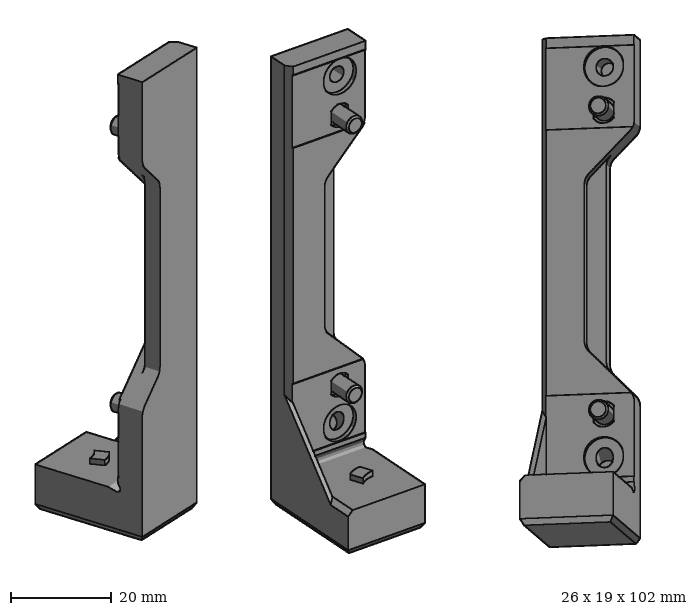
import cadquery as cq
import math

length = 26.0
width = 19.0
height = 102.0

foot_height = 10.0
post_thickness = 6.0
post_face_x = length - post_thickness
bottom_chamfer_height = 1.2
bottom_chamfer_inset = 0.7
side_chamfer = 1.1
post_chamfer_depth = 1.4

waist_bottom_z = 29.2
waist_top_z = 83.4
front_notch_depth = 10.1
back_notch_depth = 6.1
back_layer_thickness = 3.7
waist_radius = 3.0
margin = 0.5

relief_depth = 0.2
relief_face_x = post_face_x + relief_depth
upper_relief_bottom_z = waist_top_z
upper_relief_top_z = 100.0
lower_relief_bottom_z = 12.8
lower_relief_top_z = 29.7

undercut_ramp_x = 17.7
undercut_ramp_end_x = 19.6
undercut_ramp_angle = 15.0
undercut_wall_angle = 30.0
undercut_radius = 0.8

rib_foot_x = 6.8
rib_slope = 1.16

hole_y = 6.2
screw_hole_diameter = 3.5
upper_hole_floor_diameter = 3.1
upper_hole_depth = 4.1
lower_hole_depth = 3.0
seat_diameter = 8.1
seat_depth = 1.0
upper_hole_z = 95.9
lower_hole_z = 16.9
lower_hole_tilt = 30.0

pin_heights = [25.6, 87.0]
pin_diameter = 4.0
pin_length = 10.0
pin_projection = 5.2
pin_chamfer = 0.4
pin_seat_diameter = 5.2
pin_seat_width = 4.2
pin_seat_depth = 1.0

key_x = 9.6
key_y = 8.7
key_thickness = 3.1
key_width = 3.7
key_bow = 0.3
key_angle = 21.5
key_height = 1.2


def rod_into_post(diameter, start_x, depth, z):
    """Cylinder along +X on the hole centre line."""
    return cq.Workplane("YZ", origin=(start_x, hole_y, z)).circle(diameter / 2).extrude(depth)


def bottom_bevel_frame():
    """Material outside a steep taper around the bottom edges."""
    slab = cq.Workplane("XY").box(length, width, bottom_chamfer_height, centered=False)
    taper = math.degrees(math.atan2(bottom_chamfer_inset, bottom_chamfer_height))
    core = (
        cq.Workplane("XY", origin=(length / 2, width / 2, bottom_chamfer_height))
        .rect(length, width)
        .extrude(-bottom_chamfer_height, taper=taper)
    )
    return slab.cut(core)


def make_blank():
    """L-shaped block with a chamfer all round its bottom face."""
    outline = [
        (0, 0),
        (length, 0),
        (length, height),
        (post_face_x, height),
        (post_face_x, foot_height),
        (0, foot_height),
    ]
    blank = cq.Workplane("XZ").polyline(outline).close().extrude(-width)
    return blank.cut(bottom_bevel_frame())


def waist_notch(depth, start_x, thickness):
    """Trapezoid with 45 degree ends, cut into the post from its -Y side."""
    return (
        cq.Workplane("YZ", origin=(start_x, 0, 0))
        .polyline([
            (0, waist_bottom_z),
            (depth, waist_bottom_z + depth),
            (depth, waist_top_z - depth),
            (0, waist_top_z),
        ])
        .close()
        .extrude(thickness)
    )


def cut_waist(bracket):
    """Cut both notch layers, then round every corner of their outlines."""
    bracket = bracket.cut(waist_notch(front_notch_depth, post_face_x, post_thickness - back_layer_thickness))
    bracket = bracket.cut(waist_notch(back_notch_depth, length - back_layer_thickness, back_layer_thickness))
    waist_region = cq.selectors.BoxSelector(
        (post_face_x - margin, -margin, waist_bottom_z - margin),
        (length + margin, front_notch_depth + margin, waist_top_z + margin),
    )
    return bracket.edges("|X").edges(waist_region).fillet(waist_radius)


def face_relief(bottom_z, top_z):
    """Shallow full-width recess in the post face."""
    return cq.Workplane("XY", origin=(post_face_x, 0, bottom_z)).box(
        relief_depth, width, top_z - bottom_z, centered=False
    )


def corner_undercut():
    """Groove in the inner corner: the ramp and the wall both run tangent into the arc."""
    ramp_angle = math.radians(undercut_ramp_angle)
    wall_angle = math.radians(undercut_wall_angle)
    ramp_drop = (undercut_ramp_end_x - undercut_ramp_x) * math.tan(ramp_angle)
    ramp_end = (undercut_ramp_end_x, foot_height - ramp_drop)
    centre_x = ramp_end[0] + undercut_radius * math.sin(ramp_angle)
    centre_z = ramp_end[1] + undercut_radius * math.cos(ramp_angle)

    def arc_point(angle):
        return (
            centre_x + undercut_radius * math.cos(angle),
            centre_z + undercut_radius * math.sin(angle),
        )

    wall_start = arc_point(wall_angle)
    wall_top_z = wall_start[1] + (wall_start[0] - post_face_x) / math.tan(wall_angle)
    return (
        cq.Workplane("XZ")
        .moveTo(undercut_ramp_x, foot_height)
        .lineTo(*ramp_end)
        .threePointArc(arc_point(-wall_angle), wall_start)
        .lineTo(post_face_x, wall_top_z)
        .lineTo(post_face_x, foot_height)
        .close()
        .extrude(-width)
    )


def post_side_chamfer():
    """Wedge along the post's front +Y edge."""
    return (
        cq.Workplane("XY", origin=(0, 0, foot_height))
        .polyline([
            (post_face_x, width - side_chamfer),
            (post_face_x + post_chamfer_depth, width),
            (post_face_x, width),
        ])
        .close()
        .extrude(height - foot_height)
    )


def foot_side_chamfer():
    """45 degree wedge along the foot's top +Y edge."""
    return (
        cq.Workplane("YZ")
        .polyline([
            (width - side_chamfer, foot_height),
            (width, foot_height - side_chamfer),
            (width, foot_height),
        ])
        .close()
        .extrude(post_face_x)
    )


def make_rib():
    """Triangular wall, one chamfer thick, between the foot and the post."""
    base_z = foot_height - side_chamfer
    back_x = post_face_x + post_chamfer_depth
    front_x = rib_foot_x - side_chamfer / rib_slope
    return (
        cq.Workplane("XZ", origin=(0, width - side_chamfer, 0))
        .polyline([
            (front_x, base_z),
            (back_x, base_z),
            (back_x, base_z + rib_slope * (back_x - front_x)),
        ])
        .close()
        .extrude(-side_chamfer)
    )


def screw_seat(z):
    """Shallow round seat at the mouth of a screw hole."""
    return rod_into_post(seat_diameter, relief_face_x, seat_depth, z)


def upper_screw_hole():
    """Blind hole, tapering slightly towards its flat floor."""
    mouth = cq.Vector(relief_face_x + seat_depth, hole_y, upper_hole_z)
    bore = cq.Solid.makeCone(
        screw_hole_diameter / 2,
        upper_hole_floor_diameter / 2,
        upper_hole_depth,
        mouth,
        cq.Vector(1, 0, 0),
    )
    return screw_seat(upper_hole_z).union(cq.Workplane(bore))


def lower_screw_hole():
    """Blind hole that points downwards as it goes into the post."""
    tilt = math.radians(lower_hole_tilt)
    axis = cq.Vector(math.cos(tilt), 0, -math.sin(tilt))
    mouth = cq.Vector(relief_face_x + seat_depth, hole_y, lower_hole_z)
    radius = screw_hole_diameter / 2
    bore = cq.Solid.makeCylinder(radius, radius + lower_hole_depth, mouth - axis * radius, axis)
    return screw_seat(lower_hole_z).union(cq.Workplane(bore))


def pin_seat(z):
    """Shallow round recess with two flats around a pin."""
    disc = rod_into_post(pin_seat_diameter, relief_face_x, pin_seat_depth, z)
    flats = cq.Workplane("YZ", origin=(relief_face_x, hole_y, z)).rect(pin_seat_width, pin_seat_diameter)
    return disc.intersect(flats.extrude(pin_seat_depth))


def pin_blank(z):
    """Plain pin, which also shapes its own hole."""
    return rod_into_post(pin_diameter, relief_face_x - pin_projection, pin_length, z)


def make_key():
    """Curved block with both long sides bowed the same way."""
    half_thickness = key_thickness / 2
    half_width = key_width / 2
    turned = cq.Plane(origin=(key_x, key_y, foot_height)).rotated((0, 0, key_angle))
    return (
        cq.Workplane(turned)
        .moveTo(-half_thickness, -half_width)
        .lineTo(half_thickness, -half_width)
        .threePointArc((half_thickness + key_bow, 0), (half_thickness, half_width))
        .lineTo(-half_thickness, half_width)
        .threePointArc((-half_thickness + key_bow, 0), (-half_thickness, -half_width))
        .close()
        .extrude(key_height)
    )


def make_bracket():
    """Finished bracket with its rib, key, holes and pin seats."""
    bracket = cut_waist(make_blank())
    bracket = bracket.cut(face_relief(upper_relief_bottom_z, upper_relief_top_z))
    bracket = bracket.cut(face_relief(lower_relief_bottom_z, lower_relief_top_z))
    bracket = bracket.cut(corner_undercut())
    bracket = bracket.cut(post_side_chamfer())
    bracket = bracket.cut(foot_side_chamfer())
    bracket = bracket.union(make_rib())
    bracket = bracket.union(make_key())
    bracket = bracket.cut(upper_screw_hole())
    bracket = bracket.cut(lower_screw_hole())
    for z in pin_heights:
        bracket = bracket.cut(pin_seat(z))
        bracket = bracket.cut(pin_blank(z))
    return bracket


def make_pin(z):
    """Locating pin with a chamfered tip."""
    return pin_blank(z).faces("<X").chamfer(pin_chamfer)


bracket = make_bracket()
pins = [make_pin(z) for z in pin_heights]
result = cq.Compound.makeCompound([bracket.val(), *[pin.val() for pin in pins]])